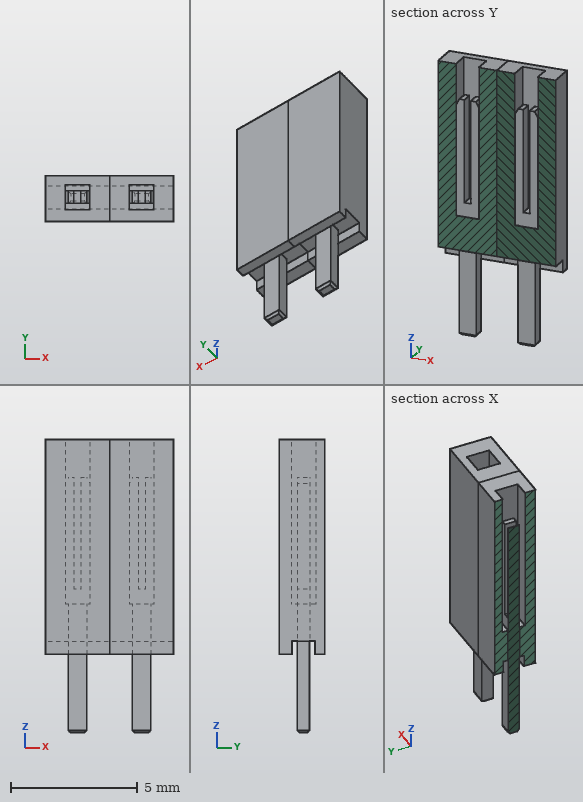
import cadquery as cq

way_count = 2
pitch = 2.54

housing_depth = 1.82
housing_height = 8.5
housing_offset_y = -0.055
standoff_groove_width = 0.9
standoff_groove_height = 0.52

socket_size = 0.98
socket_floor_z = 2.0

tail_width = 0.74
tail_length = 3.1
tail_chamfer = 0.1
pin_thickness = 0.5
arm_gap = 0.28
arm_tip_width = 0.22
arm_tip_z = housing_height - 1.5
arm_taper_height = 0.23
contact_base_height = 0.6


def housing(x):
    """One housing block with its socket, tail slot and underside groove."""
    block = cq.Workplane("XY").box(pitch, housing_depth, housing_height, centered=(True, True, False))
    block = block.translate((0, housing_offset_y, 0))
    groove = cq.Workplane("XY").box(
        pitch, standoff_groove_width, standoff_groove_height, centered=(True, True, False)
    )
    socket = (
        cq.Workplane("XY")
        .workplane(offset=socket_floor_z)
        .rect(socket_size, socket_size)
        .extrude(housing_height - socket_floor_z)
    )
    tail_slot = cq.Workplane("XY").rect(tail_width, pin_thickness).extrude(socket_floor_z)
    return block.cut(groove).cut(socket).cut(tail_slot).translate((x, 0, 0))


def contact_arm(side):
    """One upright spring arm, its tip tapered on the outer face; side is -1 or 1."""
    inner_x = arm_gap / 2
    outer_x = socket_size / 2
    tip_outer_x = inner_x + arm_tip_width
    profile = [
        (side * inner_x, socket_floor_z),
        (side * outer_x, socket_floor_z),
        (side * outer_x, arm_tip_z - arm_taper_height),
        (side * tip_outer_x, arm_tip_z),
        (side * inner_x, arm_tip_z),
    ]
    return cq.Workplane("XZ").polyline(profile).close().extrude(pin_thickness / 2, both=True)


def pin(x):
    """One pin: chamfered tail, contact base and two arms."""
    tail = (
        cq.Workplane("XY")
        .workplane(offset=-tail_length)
        .rect(tail_width, pin_thickness)
        .extrude(tail_length + socket_floor_z)
        .faces("<Z")
        .chamfer(tail_chamfer)
    )
    base = (
        cq.Workplane("XY")
        .workplane(offset=socket_floor_z)
        .rect(socket_size, pin_thickness)
        .extrude(contact_base_height)
    )
    return tail.union(base).union(contact_arm(-1)).union(contact_arm(1)).translate((x, 0, 0))


way_positions = [(way - (way_count - 1) / 2) * pitch for way in range(way_count)]
housings = [housing(x) for x in way_positions]
pins = [pin(x) for x in way_positions]

result = cq.Compound.makeCompound([body.val() for body in housings + pins])